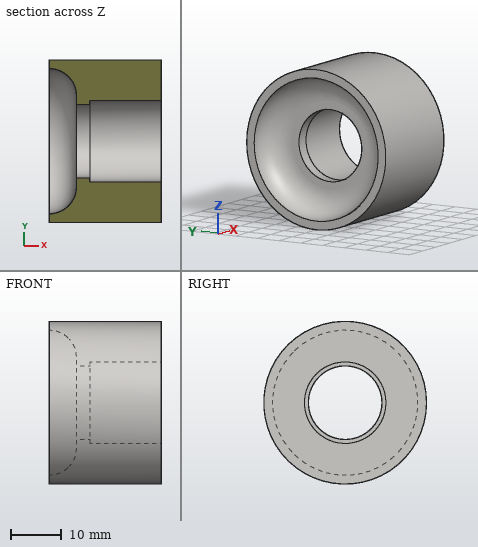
import cadquery as cq
import math

length = 22.0
outer_diameter = 32.0
bore_diameter = 14.4

dish_rim_diameter = 28.5
dish_floor_diameter = 17.83
cove_radius = (dish_rim_diameter - dish_floor_diameter) / 2

counterbore_diameter = 16.0
counterbore_depth = 14.0

left_face_x = -length / 2
right_face_x = length / 2


def roller_body():
    """Plain tube with a through bore, centred on the origin."""
    return (
        cq.Workplane("YZ", origin=(left_face_x, 0, 0))
        .circle(outer_diameter / 2)
        .circle(bore_diameter / 2)
        .extrude(length)
    )


def dish():
    """Flat-floored recess whose wall is a quarter-circle cove, tangent to the floor."""
    floor_radius = dish_floor_diameter / 2
    arc_middle = cove_radius * math.sqrt(0.5)
    floor_x = left_face_x + cove_radius
    return (
        cq.Workplane("XY")
        .moveTo(left_face_x, 0)
        .lineTo(left_face_x, dish_rim_diameter / 2)
        .threePointArc(
            (left_face_x + arc_middle, floor_radius + arc_middle),
            (floor_x, floor_radius),
        )
        .lineTo(floor_x, 0)
        .close()
        .revolve(360, (0, 0, 0), (1, 0, 0))
    )


def counterbore():
    """Wider bore that opens on the +X face."""
    return (
        cq.Workplane("YZ", origin=(right_face_x - counterbore_depth, 0, 0))
        .circle(counterbore_diameter / 2)
        .extrude(counterbore_depth)
    )


result = roller_body().cut(dish()).cut(counterbore())